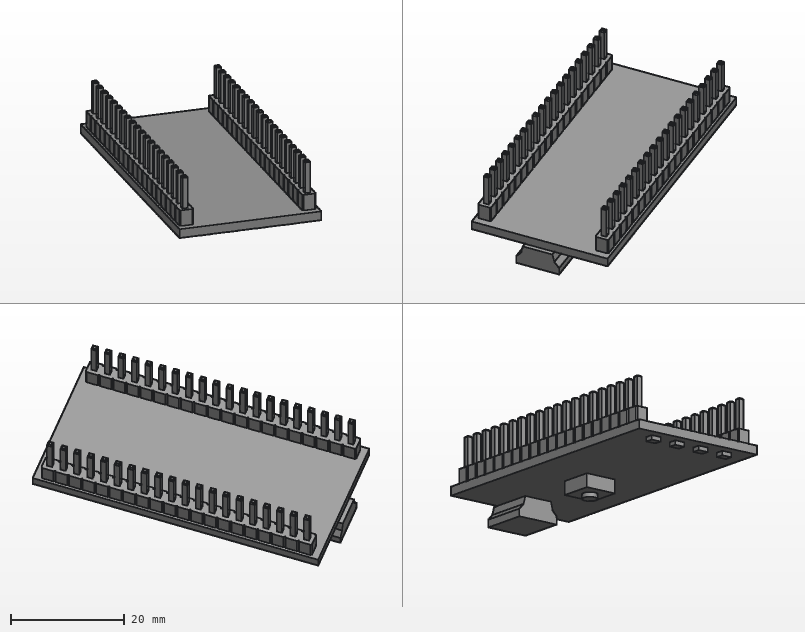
import cadquery as cq

overall_length = 54.5
board_left = 0.85
board_length = overall_length - board_left
board_width = 26.5
board_thickness = 1.7

pin_count = 20
header_length = 50.8
pitch = header_length / pin_count
row_spacing = 22.9
block_height = 2.95
block_corner = 0.2
pin_size = 1.0
pin_height = 6.0
pin_tip_chamfer = 0.2

connector_length = 8.95
connector_height = 4.0
connector_top_half_width = 2.9
connector_waist_half_width = 3.25
connector_base_half_width = 4.2
connector_waist_depth = 1.5
connector_shoulder_depth = 2.55

button_center_x = 23.65
button_size = 6.3
button_height = 2.55
plunger_diameter = 2.8
plunger_height = 0.85

lamp_count = 4
lamp_center_x = 51.85
lamp_length = 1.5
lamp_width = 2.0
lamp_height = 0.8
lamp_spacing = 5.3


def box_above(x, y, z, length, width, height):
    """Box centred on (x, y) that stands on height z."""
    return cq.Workplane("XY").box(length, width, height, centered=(True, True, False)).translate((x, y, z))


def box_below(x, y, length, width, height):
    """Box centred on (x, y) that hangs from the underside of the board."""
    return box_above(x, y, -height, length, width, height)


def centered_places(count, spacing):
    """Evenly spaced places, symmetric about zero."""
    return [(i - (count - 1) / 2) * spacing for i in range(count)]


def make_header_cell(x, y):
    """One header block with bevelled upright corners, and its pin."""
    block = box_above(x, y, board_thickness, pitch, pitch, block_height)
    block = block.edges("|Z").chamfer(block_corner)
    pin = box_above(x, y, board_thickness, pin_size, pin_size, block_height + pin_height)
    pin = pin.faces(">Z").chamfer(pin_tip_chamfer)
    return block.union(pin)


def make_connector():
    """Connector shell: a symmetric profile, widest at its base, extruded along X."""
    right_side = [
        (connector_top_half_width, 0),
        (connector_waist_half_width, -connector_waist_depth),
        (connector_base_half_width, -connector_shoulder_depth),
        (connector_base_half_width, -connector_height),
    ]
    left_side = [(-y, z) for y, z in reversed(right_side)]
    return cq.Workplane("YZ").polyline(right_side + left_side).close().extrude(connector_length)


def make_button():
    """Square button body with a round plunger pointing down."""
    body = box_below(button_center_x, 0, button_size, button_size, button_height)
    plunger = (
        cq.Workplane("XY")
        .center(button_center_x, 0)
        .circle(plunger_diameter / 2)
        .extrude(-(button_height + plunger_height))
    )
    return body.union(plunger)


board_center_x = board_left + board_length / 2
result = box_above(board_center_x, 0, 0, board_length, board_width, board_thickness)

for row_y in (-row_spacing / 2, row_spacing / 2):
    for pin_offset in centered_places(pin_count, pitch):
        result = result.union(make_header_cell(board_center_x + pin_offset, row_y))

result = result.union(make_connector())
result = result.union(make_button())

for lamp_y in centered_places(lamp_count, lamp_spacing):
    result = result.union(box_below(lamp_center_x, lamp_y, lamp_length, lamp_width, lamp_height))